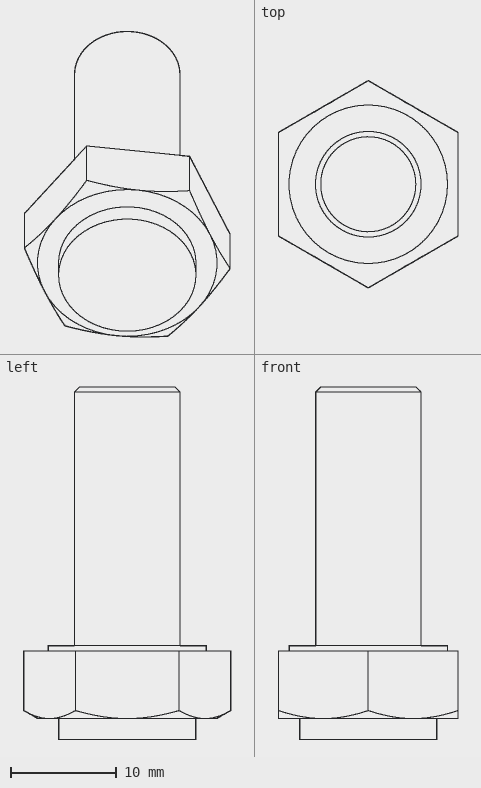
import cadquery as cq
import math

ACROSS_FLATS = 17.0
HEX_HEIGHT = 6.4
BOSS_DIAMETER = 13.0
BOSS_HEIGHT = 2.0
COLLAR_DIAMETER = 15.0
COLLAR_HEIGHT = 0.5
SHANK_DIAMETER = 10.0
SHANK_LENGTH = 25.0
SHANK_CHAMFER = 0.5
HEX_CHAMFER_ANGLE = 30.0

HEX_SIDES = 6
CUTTER_CLEARANCE = 1.0

HALF_SIDE_ANGLE = 180.0 / HEX_SIDES
ACROSS_CORNERS = ACROSS_FLATS / math.cos(math.radians(HALF_SIDE_ANGLE))
HEX_BOTTOM = BOSS_HEIGHT
HEX_TOP = HEX_BOTTOM + HEX_HEIGHT


def cylinder(diameter, height, base_z):
    """Solid cylinder on the Z axis, standing on base_z."""
    return cq.Workplane("XY").workplane(offset=base_z).circle(diameter / 2).extrude(height)


def hex_head():
    """Hexagon with two flats facing +/-X and its lower corners turned to a cone."""
    prism = (
        cq.Workplane("XY")
        .workplane(offset=HEX_BOTTOM)
        .transformed(rotate=(0, 0, HALF_SIDE_ANGLE))
        .polygon(HEX_SIDES, ACROSS_CORNERS)
        .extrude(HEX_HEIGHT)
    )
    inner_radius = ACROSS_FLATS / 2
    outer_radius = ACROSS_CORNERS / 2 + CUTTER_CLEARANCE
    cone_rise = (outer_radius - inner_radius) * math.tan(math.radians(HEX_CHAMFER_ANGLE))
    envelope = (
        cq.Workplane("XZ")
        .moveTo(0, HEX_BOTTOM)
        .lineTo(inner_radius, HEX_BOTTOM)
        .lineTo(outer_radius, HEX_BOTTOM + cone_rise)
        .lineTo(outer_radius, HEX_TOP)
        .lineTo(0, HEX_TOP)
        .close()
        .revolve(360, (0, 0, 0), (0, 1, 0))
    )
    return prism.intersect(envelope)


def shank():
    """Plain round shank with a chamfered tip."""
    return cylinder(SHANK_DIAMETER, SHANK_LENGTH, HEX_TOP).faces(">Z").chamfer(SHANK_CHAMFER)


boss = cylinder(BOSS_DIAMETER, BOSS_HEIGHT, 0)
collar = cylinder(COLLAR_DIAMETER, COLLAR_HEIGHT, HEX_TOP)

result = hex_head().union(boss).union(collar).union(shank())